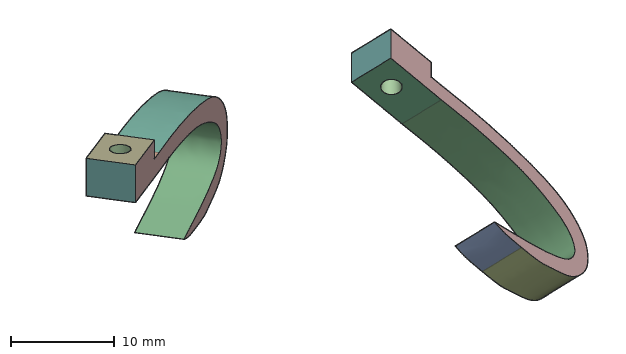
import cadquery as cq

total_length = 29.08
total_height = 15.18
width = 5.0
block_length = 6.0
block_height = 4.0
arm_thickness = 2.0
straight_arm_end = 7.45
hole_diameter = 2.06

hook_bottom = block_height - total_height
tip = (15.3, -10.7)
outer_rear = (total_length, -5.23)
outer_bottom = (19.28, hook_bottom)

outer_upper = [
    (10.53, 2.06), (13.67, 2.0), (17.2, 1.77), (20.68, 1.3),
    (23.47, 0.7), (26.1, -0.45), (27.95, -2.0), outer_rear,
]
outer_lower = [(28.3, -7.8), (26.3, -9.68), (23.47, -10.65), outer_bottom]
outer_end = [(16.8, -11.08), tip]

inner_edge = [
    (21.37, -9.4), (24.7, -8.32), (26.38, -7.27), (27.13, -5.7), (26.93, -4.65),
    (25.68, -3.08), (23.82, -2.05), (21.37, -1.1), (18.58, -0.47), (15.05, -0.1),
    (11.57, 0.05), (straight_arm_end, 0.0),
]

backward = (1, 0)
forward = (-1, 0)
downward = (0, -1)
tip_outer_direction = (-1, 0.4)
tip_inner_direction = (1, 0.2)


def make_hook():
    """Constant-width hook with a straight shank and a tapering tip."""
    profile = (
        cq.Workplane("YZ", origin=(-width / 2, 0, 0))
        .moveTo(block_length, 0)
        .lineTo(block_length, arm_thickness)
        .lineTo(straight_arm_end, arm_thickness)
        .spline(outer_upper, tangents=[backward, downward], includeCurrent=True)
        .spline(outer_lower, tangents=[downward, forward], includeCurrent=True)
        .spline(outer_end, tangents=[forward, tip_outer_direction], includeCurrent=True)
        .spline(inner_edge, tangents=[tip_inner_direction, forward], includeCurrent=True)
        .close()
    )
    return profile.extrude(width)


def make_block():
    """Mounting block with a vertical through hole at its centre."""
    block = cq.Workplane("XY").rect(width, block_length).extrude(block_height)
    return block.faces(">Z").workplane().hole(hole_diameter).translate((0, block_length / 2, 0))


result = make_block().union(make_hook())